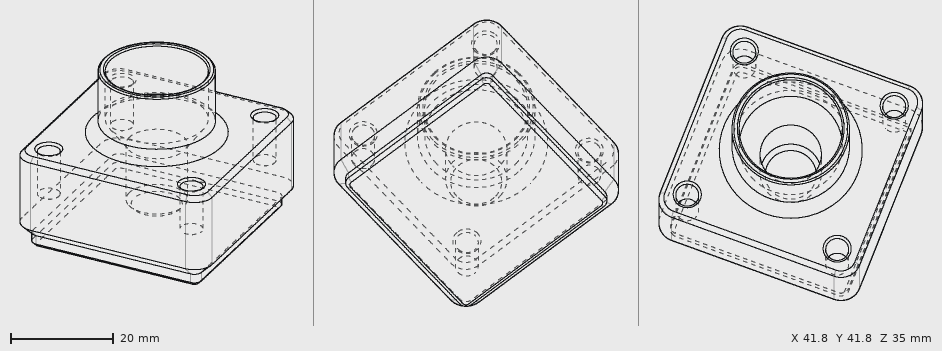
import cadquery as cq

BODY_SIDE = 41.8
BODY_CORNER_RADIUS = 3.9
BODY_TOP_Z = 21.0
BODY_TOP_CHAMFER = 1.0

FOOT_INSET = 2.3
FOOT_TOP_Z = 2.7
FOOT_BOTTOM_CHAMFER = 0.8
FOOT_SIDE = BODY_SIDE - 2 * FOOT_INSET
FOOT_CORNER_RADIUS = BODY_CORNER_RADIUS - FOOT_INSET
BODY_BOTTOM_Z = FOOT_TOP_Z + FOOT_INSET

NECK_DIAMETER = 23.0
NECK_TOP_Z = 35.0
NECK_FLARE = 2.5
NECK_OUTER_CHAMFER = 0.35
NECK_INNER_CHAMFER = 0.35

BORE_DIAMETER = 20.2
BORE_BOTTOM_Z = 24.0
WELL_DIAMETER = 12.0
WELL_FLOOR_CHAMFER = 1.0
WELL_FLOOR_Z = 5.0
FUNNEL_DEPTH = 5.65

HOLE_DIAMETER = 4.5
HOLE_PITCH = 31.4
HOLE_DEPTH = 10.0
HOLE_MOUTH_CHAMFER = 0.5
HOLE_TIP_RATIO = 0.6
HOLE_TIP_HEIGHT = HOLE_DIAMETER / 2 * HOLE_TIP_RATIO


def rounded_block(side, corner_radius, bottom_z, top_z):
    """Square block with rounded vertical edges, centred on the Z axis."""
    block = cq.Workplane("XY").workplane(offset=bottom_z).rect(side, side).extrude(top_z - bottom_z)
    return block.edges("|Z").fillet(corner_radius)


def revolved(profile):
    """Solid of revolution about Z from (radius, height) points."""
    return cq.Workplane("XZ").polyline(profile).close().revolve(360, (0, 0), (0, 1))


def make_base():
    """Foot and body, with the sloped underside and chamfered edges."""
    foot = rounded_block(FOOT_SIDE, FOOT_CORNER_RADIUS, 0, BODY_BOTTOM_Z)
    foot = foot.faces("<Z").chamfer(FOOT_BOTTOM_CHAMFER)
    body = rounded_block(BODY_SIDE, BODY_CORNER_RADIUS, FOOT_TOP_Z, BODY_TOP_Z)
    body = body.faces("<Z").chamfer(FOOT_INSET)
    body = body.faces(">Z").chamfer(BODY_TOP_CHAMFER)
    return body.union(foot)


def make_neck():
    """Round neck and its flared base."""
    radius = NECK_DIAMETER / 2
    return revolved([
        (0, BODY_BOTTOM_Z),
        (radius + NECK_FLARE, BODY_BOTTOM_Z),
        (radius + NECK_FLARE, BODY_TOP_Z),
        (radius, BODY_TOP_Z + NECK_FLARE),
        (radius, NECK_TOP_Z - NECK_OUTER_CHAMFER),
        (radius - NECK_OUTER_CHAMFER, NECK_TOP_Z),
        (0, NECK_TOP_Z),
    ])


def make_cavity():
    """Central bore, funnel and well."""
    bore_radius = BORE_DIAMETER / 2
    well_radius = WELL_DIAMETER / 2
    return revolved([
        (0, WELL_FLOOR_Z),
        (well_radius - WELL_FLOOR_CHAMFER, WELL_FLOOR_Z),
        (well_radius, WELL_FLOOR_Z + WELL_FLOOR_CHAMFER),
        (well_radius, BORE_BOTTOM_Z - FUNNEL_DEPTH),
        (bore_radius, BORE_BOTTOM_Z),
        (bore_radius, NECK_TOP_Z - NECK_INNER_CHAMFER),
        (bore_radius + NECK_INNER_CHAMFER, NECK_TOP_Z),
        (0, NECK_TOP_Z),
    ])


def make_screw_holes():
    """Four chamfered blind holes with conical bottoms."""
    radius = HOLE_DIAMETER / 2
    bottom_z = BODY_TOP_Z - HOLE_DEPTH
    hole = revolved([
        (0, bottom_z - HOLE_TIP_HEIGHT),
        (radius, bottom_z),
        (radius, BODY_TOP_Z - HOLE_MOUTH_CHAMFER),
        (radius + HOLE_MOUTH_CHAMFER, BODY_TOP_Z),
        (0, BODY_TOP_Z),
    ]).val()
    return (
        cq.Workplane("XY")
        .rect(HOLE_PITCH, HOLE_PITCH, forConstruction=True)
        .vertices()
        .eachpoint(lambda place: hole.moved(place))
    )


result = make_base().union(make_neck()).cut(make_cavity()).cut(make_screw_holes())